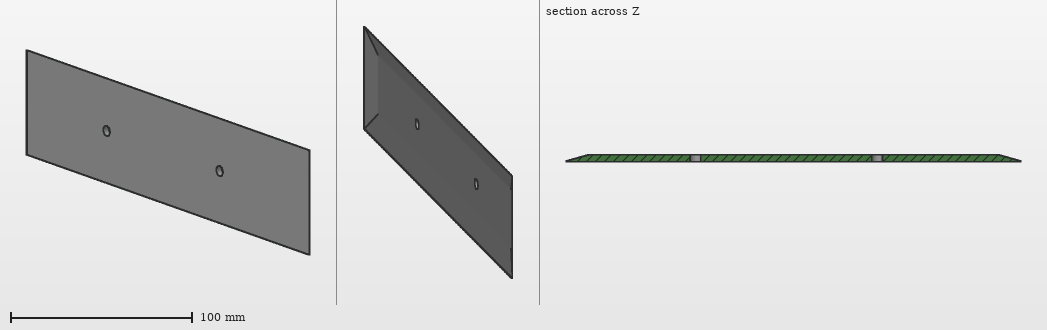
import cadquery as cq

length = 250.0
height = 60.0
thickness = 4.0

rim_thickness = 0.5
bevel_run = 12.5
front_edge_radius = 0.2

hole_diameter = 5.7
hole_spacing = 100.0
hole_pair_center_x = -4.0

front_y = -thickness / 2
rim_y = front_y + rim_thickness
back_y = thickness / 2


def section_wire(y, inset):
    """Rectangular outline of the plate at depth y, drawn in from the sides by inset."""
    half_length = length / 2 - inset
    half_height = height / 2 - inset
    corners = [
        (-half_length, y, -half_height),
        (half_length, y, -half_height),
        (half_length, y, half_height),
        (-half_length, y, half_height),
    ]
    return cq.Wire.makePolygon([cq.Vector(*corner) for corner in corners], close=True)


def ruled_block(front_section, back_section):
    """Solid with flat sides between two rectangular sections."""
    return cq.Workplane(obj=cq.Solid.makeLoft([front_section, back_section], True))


def make_plate():
    """Thin rectangular rim with a tapered block behind it."""
    rim = ruled_block(section_wire(front_y, 0), section_wire(rim_y, 0))
    taper = ruled_block(section_wire(rim_y, 0), section_wire(back_y, bevel_run))
    return rim.union(taper)


def round_front_edges(plate):
    """Slightly round the edges around the front face."""
    return plate.faces("<Y").edges().fillet(front_edge_radius)


def make_holes():
    """Cylinders that pass through the full thickness."""
    hole_centers = [(hole_pair_center_x + side * hole_spacing / 2, 0) for side in (-1, 1)]
    return (
        cq.Workplane("XZ")
        .pushPoints(hole_centers)
        .circle(hole_diameter / 2)
        .extrude(thickness, both=True)
    )


result = round_front_edges(make_plate()).cut(make_holes())